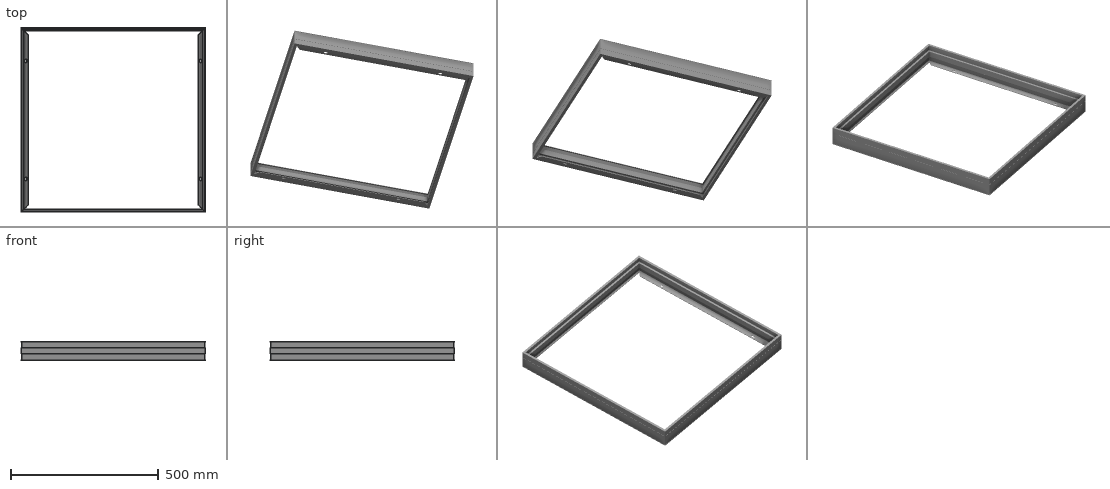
import cadquery as cq

SIDE = 625.0
HEIGHT = 65.0
HALF_SIDE = SIDE / 2

WALL = 4.0
LIP_DEPTH = 8.0
LIP_THICKNESS = 2.0
RIB_DEPTH = 10.5
RIB_TOP = 43.0
RIB_BOTTOM = 22.5
FOOT_THICKNESS = 2.0
FLANGE_DEPTH = 24.5

PANEL_DEPTH = 0.5
EDGE_HEIGHT = 2.0
BAND_HEIGHT = 19.0
BAND_BOTTOM = (HEIGHT - BAND_HEIGHT) / 2
BAND_TOP = BAND_BOTTOM + BAND_HEIGHT

SLOT_LENGTH = 12.5
SLOT_WIDTH = 5.5
SLOT_DEPTH = 16.0
SLOT_SPACING = 400.0


def profile_bar(foot_depth):
    """Mitred bar on the -X side, with its foot reaching inward by foot_depth."""
    section = [
        (0, 0),
        (foot_depth, 0),
        (foot_depth, FOOT_THICKNESS),
        (WALL, FOOT_THICKNESS),
        (WALL, RIB_BOTTOM),
        (RIB_DEPTH, RIB_BOTTOM),
        (RIB_DEPTH, RIB_TOP),
        (WALL, RIB_TOP),
        (WALL, HEIGHT - LIP_THICKNESS),
        (LIP_DEPTH, HEIGHT - LIP_THICKNESS),
        (LIP_DEPTH, HEIGHT),
        (0, HEIGHT),
        (0, HEIGHT - EDGE_HEIGHT),
        (PANEL_DEPTH, HEIGHT - EDGE_HEIGHT),
        (PANEL_DEPTH, BAND_TOP),
        (0, BAND_TOP),
        (0, BAND_BOTTOM),
        (PANEL_DEPTH, BAND_BOTTOM),
        (PANEL_DEPTH, EDGE_HEIGHT),
        (0, EDGE_HEIGHT),
    ]
    bar = (
        cq.Workplane("XZ", origin=(-HALF_SIDE, HALF_SIDE, 0))
        .polyline(section)
        .close()
        .extrude(SIDE)
    )
    mitre = (
        cq.Workplane("XY")
        .polyline([(0, 0), (-HALF_SIDE, HALF_SIDE), (-HALF_SIDE, -HALF_SIDE)])
        .close()
        .extrude(HEIGHT)
    )
    return bar.intersect(mitre)


def plain_bar():
    """Bar whose foot is flush with its rib."""
    return profile_bar(RIB_DEPTH)


def flanged_bar():
    """Bar with a wide bottom flange and two mounting slots."""
    slots = (
        cq.Workplane("XY")
        .pushPoints([(SLOT_DEPTH - HALF_SIDE, y) for y in (-SLOT_SPACING / 2, SLOT_SPACING / 2)])
        .slot2D(SLOT_LENGTH, SLOT_WIDTH, angle=90)
        .extrude(FOOT_THICKNESS)
    )
    return profile_bar(FLANGE_DEPTH).cut(slots)


def around_centre(bar, angle):
    """Turn a bar about the vertical centre line of the frame."""
    return bar.rotate((0, 0, 0), (0, 0, 1), angle).val()


flanged_bars = [around_centre(flanged_bar(), angle) for angle in (0, 180)]
plain_bars = [around_centre(plain_bar(), angle) for angle in (90, 270)]

result = cq.Compound.makeCompound([*flanged_bars, *plain_bars])